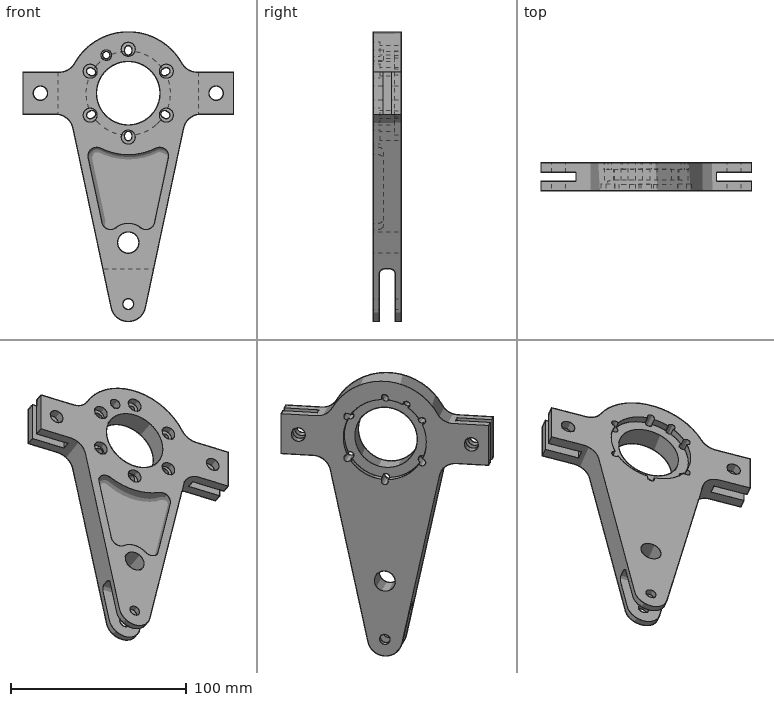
import math

import cadquery as cq

thickness = 16.0
front_y = -thickness / 2
back_y = thickness / 2

hub_radius = 35.0
bore_diameter = 36.0
rear_recess_diameter = 48.0
rear_recess_depth = 4.0
bolt_circle_radius = 25.0
bolt_count = 6
first_bolt_angle = 90.0
bolt_head_diameter = 8.0
bolt_head_depth = 4.0
bolt_slot_width = 4.0
bolt_slot_travel = 1.2
pin_hole_diameter = 4.0
pin_counterbore_diameter = 6.0
pin_counterbore_depth = 6.0
pin_angle = 120.0

arm_reach = 60.0
arm_height = 24.0
arm_hole_x = 50.0
arm_hole_diameter = 8.0
arm_slot_width = 5.0
arm_slot_floor_x = 40.0
arm_blend_radius = 10.0
corner_search_margin = 1.0

tip_z = -120.0
tip_radius = 10.0
tip_hole_diameter = 6.0
tip_slot_width = 9.0
tip_slot_top_z = -100.0
tip_slot_corner_radius = 3.0
leg_hole_z = -85.0
leg_hole_diameter = 12.0
taper = math.asin((hub_radius - tip_radius) / -tip_z)

pocket_depth = 6.0
pocket_wall_width = 5.0
pocket_corner_radius = 5.0
pocket_floor_fillet = 3.0
pocket_lower_arc_radius = 11.0


def cylinder(x, z, diameter, start_y=front_y, length=thickness):
    """Cylinder along +Y, starting at start_y."""
    center = cq.Vector(x, start_y, z)
    return cq.Workplane(cq.Solid.makeCylinder(diameter / 2, length, center, cq.Vector(0, 1, 0)))


def box(x_size, y_size, z_size, x, z):
    """Box centred at (x, 0, z)."""
    return cq.Workplane("XY").box(x_size, y_size, z_size).translate((x, 0, z))


def front_sketch():
    """Workplane on the front face; local coordinates are (X, Z) and negative extrusion goes to +Y."""
    return cq.Workplane("XZ", origin=(0, front_y, 0))


def side_normal_point(radius, center_z=0.0):
    """Point at the given radius from (0, center_z) along the outward normal of the right leg side."""
    return radius * math.cos(taper), center_z - radius * math.sin(taper)


def make_body():
    hub_x, hub_z = side_normal_point(hub_radius)
    end_x, end_z = side_normal_point(tip_radius, tip_z)
    leg = (
        front_sketch()
        .moveTo(hub_x, hub_z)
        .lineTo(end_x, end_z)
        .threePointArc((0, tip_z - tip_radius), (-end_x, end_z))
        .lineTo(-hub_x, hub_z)
        .close()
        .extrude(-thickness)
    )
    arms = box(2 * arm_reach, thickness, arm_height, 0, 0)
    body = leg.union(cylinder(0, 0, 2 * hub_radius)).union(arms)

    zone_x = hub_radius + corner_search_margin
    zone_z = arm_height / 2 + corner_search_margin
    corner_zone = cq.selectors.BoxSelector(
        (-zone_x, front_y, -zone_z),
        (zone_x, back_y, zone_z),
    )
    return body.edges("|Y").edges(corner_zone).fillet(arm_blend_radius)


def cut_arm_features(body):
    slot_length = arm_reach - arm_slot_floor_x
    slot_center_x = (arm_reach + arm_slot_floor_x) / 2
    slot_height = arm_height + 2 * arm_blend_radius
    for side in (-1, 1):
        body = body.cut(box(slot_length, arm_slot_width, slot_height, side * slot_center_x, 0))
        body = body.cut(cylinder(side * arm_hole_x, 0, arm_hole_diameter))
    return body


def cut_hub_holes(body):
    body = body.cut(cylinder(0, 0, bore_diameter))
    recess_y = back_y - rear_recess_depth
    body = body.cut(cylinder(0, 0, rear_recess_diameter, recess_y, rear_recess_depth))
    for index in range(bolt_count):
        angle = first_bolt_angle + index * 360 / bolt_count
        slot = (
            front_sketch()
            .center(bolt_circle_radius - bolt_slot_travel / 2, 0)
            .slot2D(bolt_slot_travel + bolt_slot_width, bolt_slot_width)
            .extrude(-thickness)
        )
        head = cylinder(bolt_circle_radius, 0, bolt_head_diameter, length=bolt_head_depth)
        body = body.cut(slot.union(head).rotate((0, 0, 0), (0, -1, 0), angle))

    pin_x = bolt_circle_radius * math.cos(math.radians(pin_angle))
    pin_z = bolt_circle_radius * math.sin(math.radians(pin_angle))
    body = body.cut(cylinder(pin_x, pin_z, pin_hole_diameter))
    return body.cut(cylinder(pin_x, pin_z, pin_counterbore_diameter, length=pin_counterbore_depth))


def cut_leg_features(body):
    body = body.cut(cylinder(0, leg_hole_z, leg_hole_diameter))
    body = body.cut(cylinder(0, tip_z, tip_hole_diameter))

    slot_bottom_z = tip_z - tip_radius
    slot = box(
        2 * hub_radius,
        tip_slot_width,
        tip_slot_top_z - slot_bottom_z,
        0,
        (tip_slot_top_z + slot_bottom_z) / 2,
    )
    slot = slot.faces(">Z").edges("|X").fillet(tip_slot_corner_radius)
    return body.cut(slot)


def pocket_corner_center(arc_center_z, arc_radius, turn):
    """Centre of a right corner arc, tangent to the pocket side and to an end arc on the centreline.

    Seen from the end arc's centre, the corner is turned clockwise (-1) or counterclockwise (+1)
    from the side's normal.
    """
    center_distance = arc_radius + pocket_corner_radius
    side_distance = hub_radius - pocket_wall_width - pocket_corner_radius
    normal_offset = side_distance + arc_center_z * math.sin(taper)
    swing = math.acos(normal_offset / center_distance)
    angle = -taper + turn * swing
    return center_distance * math.cos(angle), arc_center_z + center_distance * math.sin(angle)


def toward(start, target, distance):
    """Point at the given distance from start in the direction of target."""
    span = math.dist(start, target)
    return tuple(s + (t - s) * distance / span for s, t in zip(start, target))


def mirrored(point):
    return -point[0], point[1]


def make_pocket():
    """Leg-shaped pocket bounded by arcs concentric with the hub and the leg hole."""
    hub_center = (0, 0)
    hole_center = (0, leg_hole_z)
    upper_center = pocket_corner_center(0, hub_radius, -1)
    lower_center = pocket_corner_center(leg_hole_z, pocket_lower_arc_radius, 1)

    upper_arc_end = toward(hub_center, upper_center, hub_radius)
    lower_arc_end = toward(hole_center, lower_center, pocket_lower_arc_radius)
    side_x, side_z = side_normal_point(pocket_corner_radius)
    upper_side_end = (upper_center[0] + side_x, upper_center[1] + side_z)
    lower_side_end = (lower_center[0] + side_x, lower_center[1] + side_z)
    upper_bulge = (upper_center[0], upper_center[1] + pocket_corner_radius)
    lower_bulge = (lower_center[0], lower_center[1] - pocket_corner_radius)

    pocket = (
        front_sketch()
        .moveTo(*mirrored(upper_arc_end))
        .threePointArc((0, -hub_radius), upper_arc_end)
        .threePointArc(upper_bulge, upper_side_end)
        .lineTo(*lower_side_end)
        .threePointArc(lower_bulge, lower_arc_end)
        .threePointArc((0, leg_hole_z + pocket_lower_arc_radius), mirrored(lower_arc_end))
        .threePointArc(mirrored(lower_bulge), mirrored(lower_side_end))
        .lineTo(*mirrored(upper_side_end))
        .threePointArc(mirrored(upper_bulge), mirrored(upper_arc_end))
        .close()
        .extrude(-pocket_depth)
    )
    return pocket.faces(">Y").edges().fillet(pocket_floor_fillet)


result = make_body()
result = cut_arm_features(result)
result = cut_hub_holes(result)
result = cut_leg_features(result)
result = result.cut(make_pocket())